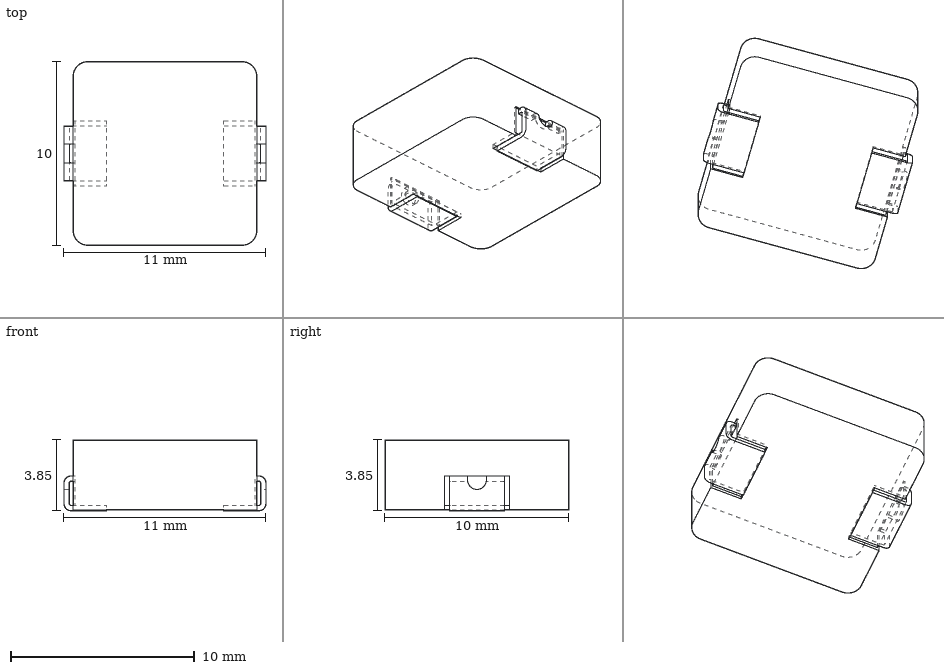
import cadquery as cq

BODY_SIDE = 10.0
BODY_CORNER_RADIUS = 0.8
TOTAL_HEIGHT = 3.85
STANDOFF = 0.05
BODY_HEIGHT = TOTAL_HEIGHT - STANDOFF

TERMINAL_SPAN = 11.0
TERMINAL_WIDTH = 2.97
TERMINAL_HEIGHT = 1.9
TERMINAL_THICKNESS = 0.3
BEND_OUTER_RADIUS = 0.4
BEND_INNER_RADIUS = BEND_OUTER_RADIUS - TERMINAL_THICKNESS
FOOT_LENGTH = 2.31
NOTCH_WIDTH = 1.02
NOTCH_DEPTH = 0.74

RECESS_DEPTH = 0.1
RECESS_SIDE_GAP = 0.29
RECESS_WIDTH = TERMINAL_WIDTH + 2 * RECESS_SIDE_GAP

OUTER_X = TERMINAL_SPAN / 2
BODY_FACE_X = BODY_SIDE / 2
RECESS_X = BODY_FACE_X - RECESS_DEPTH
FOOT_END_X = OUTER_X - FOOT_LENGTH


def box_between(x_min, x_max, width, z_min, z_max):
    """Box between two X and two Z limits, centred on Y = 0."""
    return (
        cq.Workplane("XY", origin=((x_min + x_max) / 2, 0, z_min))
        .rect(x_max - x_min, width)
        .extrude(z_max - z_min)
    )


def make_recess():
    """Space for the +X terminal: a shallow side pocket and a foot channel."""
    side_pocket = box_between(RECESS_X, BODY_FACE_X, RECESS_WIDTH, STANDOFF, TERMINAL_HEIGHT)
    foot_channel = box_between(FOOT_END_X, BODY_FACE_X, RECESS_WIDTH, STANDOFF, TERMINAL_THICKNESS)
    return side_pocket.union(foot_channel)


def make_body():
    """Square block with rounded upright corners and a recess on each X side."""
    block = (
        cq.Workplane("XY", origin=(0, 0, STANDOFF))
        .rect(BODY_SIDE, BODY_SIDE)
        .extrude(BODY_HEIGHT)
        .edges("|Z")
        .fillet(BODY_CORNER_RADIUS)
    )
    for angle in (0, 180):
        block = block.cut(make_recess().rotate((0, 0, 0), (0, 0, 1), angle))
    return block


def make_notch():
    """Round-bottomed cutter open to the top of the terminal."""
    notch_radius = NOTCH_WIDTH / 2
    centre_z = TERMINAL_HEIGHT - NOTCH_DEPTH + notch_radius
    straight_part = box_between(RECESS_X, OUTER_X, NOTCH_WIDTH, centre_z, TERMINAL_HEIGHT)
    round_part = (
        cq.Workplane("YZ", origin=(RECESS_X, 0, centre_z))
        .circle(notch_radius)
        .extrude(OUTER_X - RECESS_X)
    )
    return straight_part.union(round_part)


def make_terminal(angle):
    """C-shaped strip with a long foot and a notched top tab, turned about Z."""
    inner_x = OUTER_X - TERMINAL_THICKNESS
    inner_top_z = TERMINAL_HEIGHT - TERMINAL_THICKNESS
    strip = (
        cq.Workplane("XZ")
        .moveTo(FOOT_END_X, 0)
        .lineTo(OUTER_X, 0)
        .lineTo(OUTER_X, TERMINAL_HEIGHT)
        .lineTo(RECESS_X, TERMINAL_HEIGHT)
        .lineTo(RECESS_X, inner_top_z)
        .lineTo(inner_x, inner_top_z)
        .lineTo(inner_x, TERMINAL_THICKNESS)
        .lineTo(FOOT_END_X, TERMINAL_THICKNESS)
        .close()
        .extrude(TERMINAL_WIDTH / 2, both=True)
    )
    strip = strip.faces(">X").edges("|Y").fillet(BEND_OUTER_RADIUS)
    inner_bends = cq.selectors.BoxSelector(
        (inner_x - BEND_INNER_RADIUS, -TERMINAL_WIDTH, 0),
        (inner_x + BEND_INNER_RADIUS, TERMINAL_WIDTH, TERMINAL_HEIGHT),
    )
    strip = strip.edges("|Y").edges(inner_bends).fillet(BEND_INNER_RADIUS)
    return strip.cut(make_notch()).rotate((0, 0, 0), (0, 0, 1), angle)


body = make_body()
terminals = [make_terminal(angle) for angle in (0, 180)]

result = cq.Compound.makeCompound([body.solids().val(), *[terminal.solids().val() for terminal in terminals]])